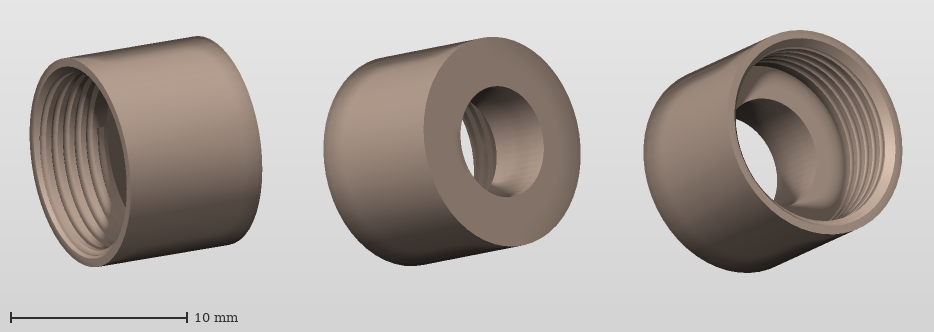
import cadquery as cq
import math

outer_diameter = 12.0
length = 8.5
hole_diameter = 6.36
bore_diameter = 10.2
bore_depth = 4.5
mouth_diameter = 11.04

pitch = 0.75
thread_depth = 0.28
root_flat = pitch / 8
flank_angle = 30.0
thread_overlap = 0.12
floor_clearance = 0.38
thread_turns = 6

outer_radius = outer_diameter / 2
hole_radius = hole_diameter / 2
bore_radius = bore_diameter / 2
mouth_radius = mouth_diameter / 2
mouth_y = -length / 2
back_y = length / 2
floor_y = mouth_y + bore_depth
chamfer = mouth_radius - bore_radius


def make_body():
    """Revolve the wall section, with its 45 degree mouth chamfer, about Y."""
    section = [
        (hole_radius, back_y),
        (outer_radius, back_y),
        (outer_radius, mouth_y),
        (mouth_radius, mouth_y),
        (bore_radius, mouth_y + chamfer),
        (bore_radius, floor_y),
        (hole_radius, floor_y),
    ]
    return cq.Workplane("XY").polyline(section).close().revolve(360, (0, 0), (0, 1))


def make_thread_turn():
    """Sweep a flat-rooted 60 degree groove through the one turn nearest the floor."""
    inner_radius = bore_radius - thread_overlap
    root_radius = bore_radius + thread_depth
    half_root = root_flat / 2
    half_mouth = half_root + (root_radius - inner_radius) * math.tan(math.radians(flank_angle))
    groove = [
        (inner_radius, -half_mouth),
        (root_radius, -half_root),
        (root_radius, half_root),
        (inner_radius, half_mouth),
    ]
    helix = cq.Wire.makeHelix(pitch, pitch, bore_radius)
    turn = cq.Workplane("XZ").polyline(groove).close().sweep(cq.Workplane(helix), isFrenet=True)
    turn = turn.rotate((0, 0, 0), (1, 0, 0), 90).rotate((0, 0, 0), (0, 1, 0), 180)
    return turn.translate((0, floor_y - floor_clearance, 0))


result = make_body()
thread_turn = make_thread_turn()
for index in range(thread_turns):
    result = result.cut(thread_turn.translate((0, -index * pitch, 0)))